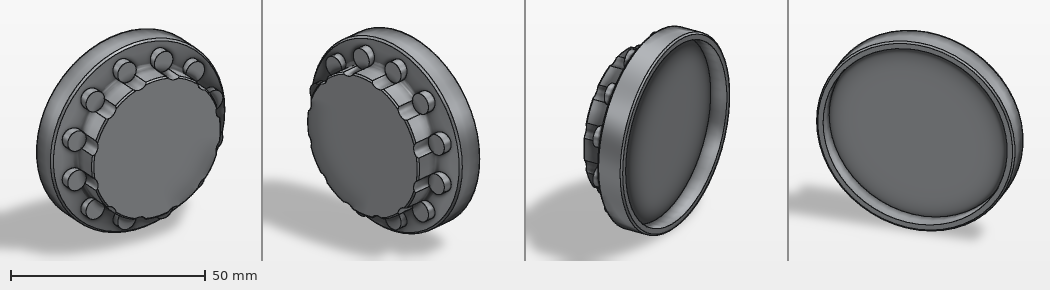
import cadquery as cq
import math

rim_radius = 27.0
rim_chamfer = 0.5
rim_land_end = 6.95
rim_back = 7.55
recess_radius = 25.05
recess_depth = 4.85

back_edge_radius = 26.45
blend_start = 8.75
blend_start_radius = 20.95
blend_end = 10.2

hub_radius = 20.0
hub_end = 16.0
hub_chamfer = 0.45

pad_count = 12
pad_radius = 2.85
pad_circle_radius = 21.85
pad_end = 10.55
first_pad_angle = 180 / pad_count


def make_body():
    """Revolve the half section (x, radius) of the rim, taper, blend and hub."""
    blend_sine = math.sin(math.radians(45))
    blend_mid = (
        blend_end - (blend_end - blend_start) * blend_sine,
        blend_start_radius - (blend_start_radius - hub_radius) * blend_sine,
    )
    section = (
        cq.Workplane("XY")
        .moveTo(recess_depth, 0)
        .lineTo(recess_depth, recess_radius)
        .lineTo(0, recess_radius)
        .lineTo(0, rim_radius - rim_chamfer)
        .lineTo(rim_chamfer, rim_radius)
        .lineTo(rim_land_end, rim_radius)
        .lineTo(rim_back, back_edge_radius)
        .lineTo(blend_start, blend_start_radius)
        .threePointArc(blend_mid, (blend_end, hub_radius))
        .lineTo(hub_end - hub_chamfer, hub_radius)
        .lineTo(hub_end, hub_radius - hub_chamfer)
        .lineTo(hub_end, 0)
        .close()
    )
    return section.revolve(360, (0, 0, 0), (1, 0, 0))


def pad_cylinders(start, end):
    """Ring of cylinders parallel to X, running from start to end."""
    return (
        cq.Workplane("YZ", origin=(start, 0, 0))
        .polarArray(pad_circle_radius, first_pad_angle, 360, pad_count)
        .circle(pad_radius)
        .extrude(end - start)
    )


pads = pad_cylinders(rim_land_end, pad_end)
scallops = pad_cylinders(pad_end, hub_end)

result = make_body().union(pads).cut(scallops)